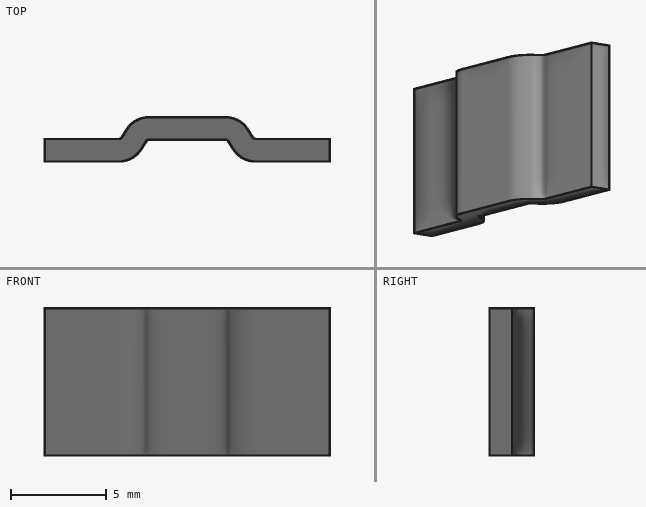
import cadquery as cq
import math

LENGTH = 15.0
WIDTH = 7.75
THICKNESS = 1.2
DEPTH = 2.35
CREST_LENGTH = 4.0
INNER_RADIUS = 0.2
BEND_ANGLE = 58.0

OUTER_RADIUS = INNER_RADIUS + THICKNESS
SIN_BEND = math.sin(math.radians(BEND_ANGLE))
COS_BEND = math.cos(math.radians(BEND_ANGLE))
RADII_SUM = INNER_RADIUS + OUTER_RADIUS
STEP_HEIGHT = DEPTH - THICKNESS
WEB_LENGTH = (STEP_HEIGHT - RADII_SUM * (1 - COS_BEND)) / SIN_BEND
STEP_RUN = RADII_SUM * SIN_BEND + WEB_LENGTH * COS_BEND

HALF_LENGTH = LENGTH / 2
FRONT_Y = -DEPTH / 2
BACK_Y = DEPTH / 2
FLANGE_BACK_Y = FRONT_Y + THICKNESS
CREST_FRONT_Y = BACK_Y - THICKNESS
CREST_HALF = CREST_LENGTH / 2
FLANGE_START = CREST_HALF + STEP_RUN


def arc_point(center, radius, degrees):
    """Point on a circle, with the angle measured from +X towards +Y."""
    angle = math.radians(degrees)
    return (center[0] + radius * math.cos(angle), center[1] + radius * math.sin(angle))


def add_arc(profile, center, radius, start, end):
    """Run a line to the start of an arc, then follow the arc to its end."""
    profile = profile.lineTo(*arc_point(center, radius, start))
    middle = arc_point(center, radius, (start + end) / 2)
    return profile.threePointArc(middle, arc_point(center, radius, end))


def half_strip():
    """Right-hand half of the strip, from the middle of the crest to the flange end."""
    crest_center = (CREST_HALF, CREST_FRONT_Y - INNER_RADIUS)
    flange_center = (FLANGE_START, FLANGE_BACK_Y + INNER_RADIUS)
    crest_top = 90
    crest_end = crest_top - BEND_ANGLE
    flange_bottom = 270
    flange_end = flange_bottom - BEND_ANGLE

    profile = cq.Workplane("XY").moveTo(0, BACK_Y)
    profile = add_arc(profile, crest_center, OUTER_RADIUS, crest_top, crest_end)
    profile = add_arc(profile, flange_center, INNER_RADIUS, flange_end, flange_bottom)
    profile = profile.lineTo(HALF_LENGTH, FLANGE_BACK_Y)
    profile = profile.lineTo(HALF_LENGTH, FRONT_Y)
    profile = add_arc(profile, flange_center, OUTER_RADIUS, flange_bottom, flange_end)
    profile = add_arc(profile, crest_center, INNER_RADIUS, crest_end, crest_top)
    profile = profile.lineTo(0, CREST_FRONT_Y).close()
    return profile.extrude(WIDTH / 2, both=True)


right_half = half_strip()
left_half = right_half.mirror("YZ")
result = right_half.union(left_half).clean()